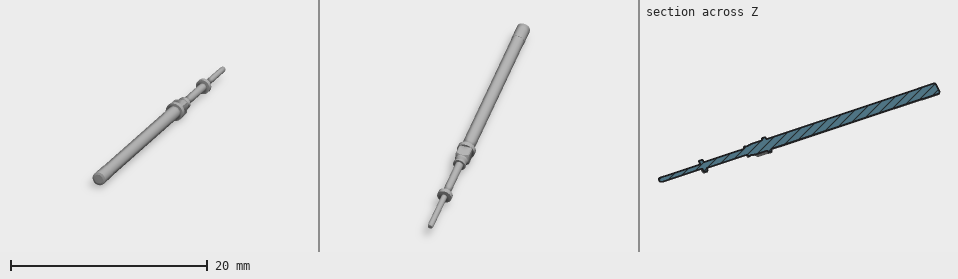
import cadquery as cq
import math

length = 30.5
tip_y = length / 2

tip_diameter = 0.6
tip_face_diameter = 0.45
stop_ring_diameter = 1.52
shank_diameter = 0.82
shank_flare_diameter = 0.85
collar_diameter = 1.35
groove_diameter = 1.15
lip_diameter = 1.35
shoulder_diameter = 1.9
barrel_diameter = 1.35
end_band_diameter = 1.4
end_face_diameter = 0.98

square_width = 1.4
square_corner_diameter = 1.83

tip_round_end = 0.3
ring_thickness = 0.45
stop_ring_start = 4.6
stop_ring_end = stop_ring_start + ring_thickness
shank_end = 9.15
collar_start = 9.5
collar_land = 0.1
collar_round_start = collar_start + collar_land
groove_bottom = 9.88
lip_start = 10.1
square_start = 10.28
square_chamfer_end = 10.5
shoulder_start = 11.55
shoulder_end = shoulder_start + ring_thickness
end_band_start = 28.52
end_chamfer_length = 0.1
end_chamfer_start = length - end_chamfer_length


def at(distance, diameter):
    """Outline point at a distance from the tip, on a given diameter."""
    return (diameter / 2, tip_y - distance)


def round_middle(crest, foot):
    """Middle point of the arc that leaves crest parallel to the axis and ends at foot."""
    drop = crest[0] - foot[0]
    run = foot[1] - crest[1]
    radius = (drop**2 + run**2) / (2 * drop)
    half_angle = math.atan2(drop, abs(run))
    axial_step = math.copysign(radius * math.sin(half_angle), run)
    return (crest[0] - radius * (1 - math.cos(half_angle)), crest[1] + axial_step)


def revolved(outline):
    """Revolve a closed outline about the Y axis."""
    return outline.revolve(360, (0, 0, 0), (0, 1, 0))


def turned(*points):
    """Solid of revolution whose outline joins the points by straight lines."""
    first_centre = (0, points[0][1])
    last_centre = (0, points[-1][1])
    return revolved(cq.Workplane("XY").polyline([first_centre, *points, last_centre]).close())


def front_pin():
    """Rounded tip, stop ring, shank and rounded collar with its groove and lip."""
    tip_face_edge = at(0, tip_face_diameter)
    tip_crest = at(tip_round_end, tip_diameter)
    collar_crest = at(collar_round_start, collar_diameter)
    groove_foot = at(groove_bottom, groove_diameter)
    outline = (
        cq.Workplane("XY")
        .moveTo(*at(0, 0))
        .lineTo(*tip_face_edge)
        .threePointArc(round_middle(tip_crest, tip_face_edge), tip_crest)
        .lineTo(*at(stop_ring_start, tip_diameter))
        .lineTo(*at(stop_ring_start, stop_ring_diameter))
        .lineTo(*at(stop_ring_end, stop_ring_diameter))
        .lineTo(*at(stop_ring_end, shank_diameter))
        .lineTo(*at(shank_end, shank_diameter))
        .lineTo(*at(collar_start, shank_flare_diameter))
        .lineTo(*at(collar_start, collar_diameter))
        .lineTo(*collar_crest)
        .threePointArc(round_middle(collar_crest, groove_foot), groove_foot)
        .lineTo(*at(lip_start, lip_diameter))
        .lineTo(*at(square_start, lip_diameter))
        .lineTo(*at(square_start, 0))
        .close()
    )
    return revolved(outline)


def square_section():
    """Square with its corners turned round and its front corners chamfered."""
    turned_blank = turned(
        at(square_start, lip_diameter),
        at(square_chamfer_end, square_corner_diameter),
        at(shoulder_start, square_corner_diameter),
    )
    square_length = shoulder_start - square_start
    square_middle = tip_y - (square_start + shoulder_start) / 2
    square_bar = cq.Workplane("XY").box(square_width, square_length, square_width)
    return turned_blank.intersect(square_bar.translate((0, square_middle, 0)))


def rear_barrel():
    """Shoulder ring and long barrel, ending in a chamfered band of its own diameter."""
    return turned(
        at(shoulder_start, shoulder_diameter),
        at(shoulder_end, shoulder_diameter),
        at(shoulder_end, barrel_diameter),
        at(end_band_start, barrel_diameter),
        at(end_band_start, end_band_diameter),
        at(end_chamfer_start, end_band_diameter),
        at(length, end_face_diameter),
    )


result = front_pin().union(square_section()).union(rear_barrel())